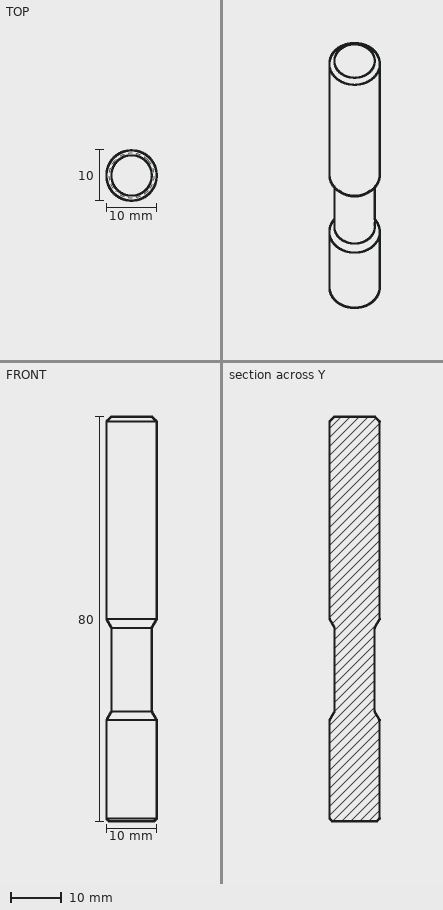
import cadquery as cq
import math

length = 80.0
pin_diameter = 10.0
neck_diameter = 8.0
neck_start = 20.0
neck_end = 40.0
shoulder_angle = 60.0
bottom_chamfer = 0.6

pin_radius = pin_diameter / 2
neck_radius = neck_diameter / 2
neck_depth = pin_radius - neck_radius
shoulder_height = neck_depth * math.tan(math.radians(shoulder_angle))
top_chamfer = neck_depth

profile = [
    (0, 0),
    (pin_radius - bottom_chamfer, 0),
    (pin_radius, bottom_chamfer),
    (pin_radius, neck_start),
    (neck_radius, neck_start + shoulder_height),
    (neck_radius, neck_end - shoulder_height),
    (pin_radius, neck_end),
    (pin_radius, length - top_chamfer),
    (pin_radius - top_chamfer, length),
    (0, length),
]

result = cq.Workplane("XZ").polyline(profile).close().revolve(360, (0, 0, 0), (0, 1, 0))